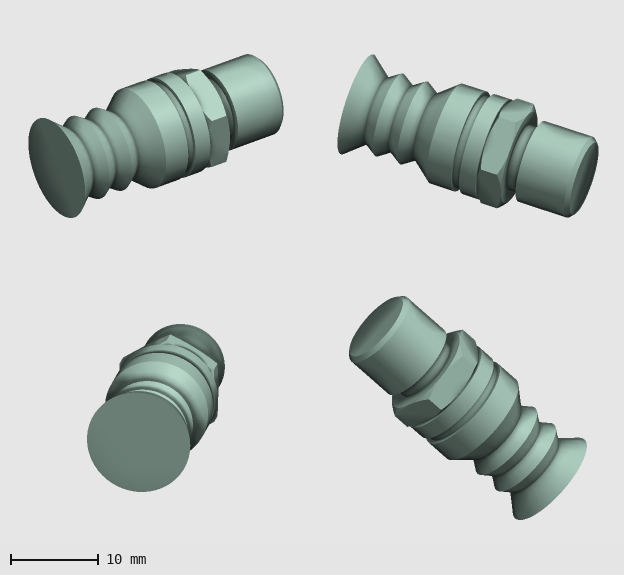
import cadquery as cq
import math

total_length = 28.0

thread_diameter = 9.72
neck_diameter = 7.8
body_diameter = 12.0
groove_diameter = 11.0
fold_diameter = 10.0
waist_diameter = 8.0
hex_across_flats = 11.0

thread_chamfer = 0.5
thread_length = 6.5
neck_length = 1.5
hex_length = 3.0
collar_length = 2.0
groove_length = 1.0
body_length = 3.0
shoulder_length = 2.5
fold_half_length = 1.5
fold_count = 2

hex_face_diameter = 11.0
hex_chamfer_length = 0.5

hex_across_corners = hex_across_flats / math.cos(math.pi / 6)

thread_shoulder = total_length - thread_length
hex_top = thread_shoulder - neck_length
hex_bottom = hex_top - hex_length
groove_top = hex_bottom - collar_length
groove_bottom = groove_top - groove_length
body_bottom = groove_bottom - body_length
first_waist = body_bottom - shoulder_length


def revolve_profile(stations):
    """Solid of revolution about Y through (diameter, y) stations."""
    outline = [(diameter / 2, y) for diameter, y in stations]
    outline = [(0, stations[0][1])] + outline + [(0, stations[-1][1])]
    return cq.Workplane("XY").polyline(outline).close().revolve(360, (0, 0), (0, 1))


def threaded_stem():
    return revolve_profile([
        (thread_diameter - 2 * thread_chamfer, total_length),
        (thread_diameter, total_length - thread_chamfer),
        (thread_diameter, thread_shoulder),
        (neck_diameter, thread_shoulder),
        (neck_diameter, hex_bottom),
    ])


def hexagon():
    """Hexagon with flats facing +/-X and corners trimmed by a cone at each end."""
    prism = (
        cq.Workplane("XZ", origin=(0, hex_top, 0))
        .transformed(rotate=(0, 0, 90))
        .polygon(6, hex_across_corners)
        .extrude(hex_length)
    )
    envelope = revolve_profile([
        (hex_face_diameter, hex_top),
        (hex_across_corners, hex_top - hex_chamfer_length),
        (hex_across_corners, hex_bottom + hex_chamfer_length),
        (hex_face_diameter, hex_bottom),
    ])
    return prism.intersect(envelope)


def body_and_bellows():
    stations = [
        (body_diameter, hex_bottom),
        (body_diameter, groove_top),
        (groove_diameter, groove_top),
        (groove_diameter, groove_bottom),
        (body_diameter, groove_bottom),
        (body_diameter, body_bottom),
        (waist_diameter, first_waist),
    ]
    for fold in range(fold_count):
        fold_start = first_waist - 2 * fold * fold_half_length
        stations.append((fold_diameter, fold_start - fold_half_length))
        stations.append((waist_diameter, fold_start - 2 * fold_half_length))
    stations.append((body_diameter, 0))
    return revolve_profile(stations)


result = threaded_stem().union(hexagon()).union(body_and_bellows())